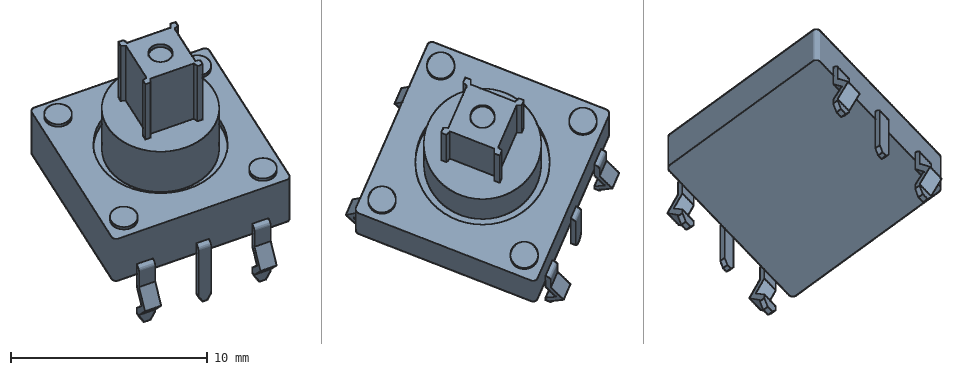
import cadquery as cq

BODY_BOTTOM = 3.45
BODY_TOP = 6.62
PIP_TOP = 6.81
HUB_TOP = 9.29
STEM_TOP = 13.46

BODY_SIZE = 10.0
CORNER_RADIUS = 0.25
RECESS_DIAMETER = 6.84
RECESS_DEPTH = 0.38
PIP_DIAMETER = 1.41
PIP_SPACING = 7.83

HUB_DIAMETER = 5.98
STEM_SIZE = 2.75
STEM_RIB_SIZE = 3.23
RIB_WIDTH = 0.3
RIB_FLARE = 0.1
STEM_HOLE_DIAMETER = 1.24
STEM_HOLE_DEPTH = 0.23

PIN_THICKNESS = 0.3
PIN_TOP = 4.21
SNAP_PIN_WIDTH = 0.92
SNAP_PIN_SPACING = 6.5
SNAP_PIN_TIP_WIDTH = 0.38
SNAP_PIN_TAPER = 0.52
CENTER_PIN_WIDTH = 0.71
CENTER_PIN_TIP_WIDTH = 0.27
CENTER_PIN_TAPER = 0.43

KINK_REACH = 6.0
KINK_INNER_REACH = 5.57
KINK_Z = 1.64
KINK_OUTER_TOP = 2.77
KINK_OUTER_BOTTOM = 0.66
KINK_INNER_TOP = 2.55
KINK_INNER_BOTTOM = 0.9

WALL = BODY_SIZE / 2
PIN_OUTER = WALL + PIN_THICKNESS
PIN_BEND_Z = PIN_TOP - PIN_THICKNESS
PIN_ROOT = 0.13


def cylinder(diameter, bottom, top):
    return cq.Workplane("XY").workplane(offset=bottom).circle(diameter / 2).extrude(top - bottom)


def make_housing():
    height = BODY_TOP - BODY_BOTTOM
    housing = (
        cq.Workplane("XY")
        .workplane(offset=BODY_BOTTOM)
        .rect(BODY_SIZE, BODY_SIZE)
        .extrude(height)
        .edges("|Z")
        .fillet(CORNER_RADIUS)
    )
    housing = housing.cut(cylinder(RECESS_DIAMETER, BODY_TOP - RECESS_DEPTH, BODY_TOP))
    pips = (
        cq.Workplane("XY")
        .workplane(offset=BODY_TOP)
        .rect(PIP_SPACING, PIP_SPACING, forConstruction=True)
        .vertices()
        .circle(PIP_DIAMETER / 2)
        .extrude(PIP_TOP - BODY_TOP)
    )
    return housing.union(pips)


def make_stem():
    length = STEM_TOP - HUB_TOP
    base = cq.Workplane("XY").workplane(offset=HUB_TOP)
    stem = base.rect(STEM_SIZE, STEM_SIZE).extrude(length)
    face = STEM_SIZE / 2
    tip = STEM_RIB_SIZE / 2
    shoulder = tip - RIB_WIDTH
    root = shoulder - RIB_FLARE
    rib = (
        base.moveTo(root, root)
        .lineTo(face, root)
        .lineTo(tip, shoulder)
        .lineTo(tip, tip)
        .lineTo(shoulder, tip)
        .lineTo(root, face)
        .close()
        .extrude(length)
    )
    for quarter in range(4):
        stem = stem.union(rib.rotate((0, 0, 0), (0, 0, 1), 90 * quarter))
    return stem.cut(cylinder(STEM_HOLE_DIAMETER, STEM_TOP - STEM_HOLE_DEPTH, STEM_TOP))


def start_pin_profile():
    """Root, top and rounded shoulder of a pin on the +X side, ending on its outer face."""
    return (
        cq.Workplane("XZ")
        .moveTo(WALL, BODY_BOTTOM)
        .lineTo(WALL - PIN_ROOT, BODY_BOTTOM)
        .lineTo(WALL - PIN_ROOT, PIN_TOP)
        .lineTo(WALL, PIN_TOP)
        .radiusArc((PIN_OUTER, PIN_BEND_Z), PIN_THICKNESS)
    )


def finish_pin(profile, width, tip_width, taper):
    """Give a closed side profile its width and taper its lower end in the YZ plane."""
    front = (
        cq.Workplane("YZ")
        .moveTo(-tip_width / 2, 0)
        .lineTo(tip_width / 2, 0)
        .lineTo(width / 2, taper)
        .lineTo(width / 2, PIN_TOP)
        .lineTo(-width / 2, PIN_TOP)
        .lineTo(-width / 2, taper)
        .close()
        .extrude(BODY_SIZE)
    )
    return profile.close().extrude(width / 2, both=True).intersect(front)


def make_snap_pin():
    profile = (
        start_pin_profile()
        .lineTo(PIN_OUTER, KINK_OUTER_TOP)
        .lineTo(KINK_REACH, KINK_Z)
        .lineTo(PIN_OUTER, KINK_OUTER_BOTTOM)
        .lineTo(PIN_OUTER, 0)
        .lineTo(WALL, 0)
        .lineTo(WALL, KINK_INNER_BOTTOM)
        .lineTo(KINK_INNER_REACH, KINK_Z)
        .lineTo(WALL, KINK_INNER_TOP)
    )
    return finish_pin(profile, SNAP_PIN_WIDTH, SNAP_PIN_TIP_WIDTH, SNAP_PIN_TAPER)


def make_center_pin():
    profile = start_pin_profile().lineTo(PIN_OUTER, 0).lineTo(WALL, 0)
    return finish_pin(profile, CENTER_PIN_WIDTH, CENTER_PIN_TIP_WIDTH, CENTER_PIN_TAPER)


snap_pin = make_snap_pin()
pin_row = make_center_pin()
for side in (-1, 1):
    pin_row = pin_row.union(snap_pin.translate((0, side * SNAP_PIN_SPACING / 2, 0)))

hub = cylinder(HUB_DIAMETER, BODY_TOP - RECESS_DEPTH, HUB_TOP)

result = (
    make_housing()
    .union(hub)
    .union(make_stem())
    .union(pin_row)
    .union(pin_row.mirror("YZ"))
)